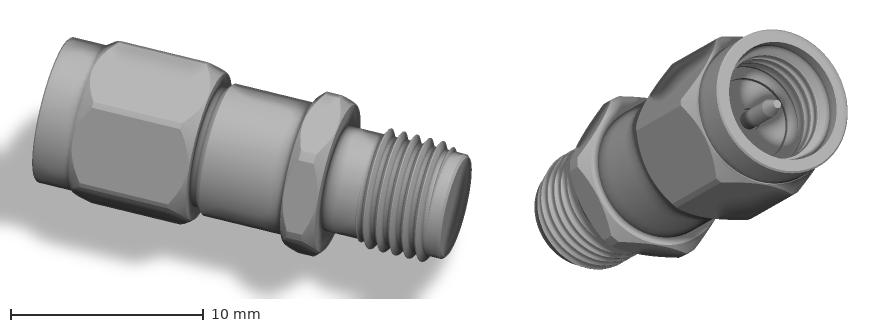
import cadquery as cq
import math

length = 21.85
collar_end = 2.0
nut_end = 8.39
neck_end = 8.67
rear_hex_start = 13.52
rear_hex_end = 15.4

collar_diameter = 7.75
neck_diameter = 6.35
body_diameter = 7.05
barrel_diameter = 5.6
collar_chamfer = 0.09
body_chamfer = 0.33
barrel_chamfer = 0.13

across_flats = 7.95
nut_across_corners = 9.0
rear_across_corners = 8.89
hex_end_diameter = 7.86
nut_chamfer_length = 0.79
rear_chamfer_length = 0.52

entry_diameter = 6.35
entry_depth = 0.76
bore_diameter = 5.6
socket_depth = 3.54
lead_in_length = (entry_diameter - bore_diameter) / 2
insulator_diameter = 4.2
insulator_gap_diameter = 4.45
pin_diameter = 0.95
pin_gap_diameter = 1.2
gap_depth = 0.22
pin_tip_diameter = 0.44
pin_tip_start = 0.6
pin_tip_end = 1.38

five_pitches = 3.54
pitch = five_pitches / 5
outer_thread_diameter = 6.35
outer_thread_start = 17.25
outer_thread_end = 21.1
outer_thread_taper = 0.3
outer_crest = 17.65
outer_root_width = 0.48
inner_groove_diameter = 6.33
inner_groove_width = 0.57
inner_groove_start = entry_depth + lead_in_length
inner_groove_position = 0.92
crest_width = 0.05
thread_overlap = 0.07


def cylinder(start, end, diameter):
    return cq.Workplane("YZ", origin=(start, 0, 0)).circle(diameter / 2).extrude(end - start)


def ring(start, end, outer, inner):
    return cylinder(start, end, outer).cut(cylinder(start, end, inner))


def revolved(half_outline):
    """Solid of revolution around X from (x, radius) points."""
    return cq.Workplane("XY").polyline(half_outline).close().revolve(360, (0, 0, 0), (1, 0, 0))


def chamfered_hex(start, end, across_corners, chamfer_length):
    """Hexagon with corners on Y, trimmed by a cylinder with conical ends."""
    sharp_corners = across_flats / math.cos(math.pi / 6)
    prism = cq.Workplane("YZ", origin=(start, 0, 0)).polygon(6, sharp_corners).extrude(end - start)
    envelope = revolved([
        (start, 0),
        (start, hex_end_diameter / 2),
        (start + chamfer_length, across_corners / 2),
        (end - chamfer_length, across_corners / 2),
        (end, hex_end_diameter / 2),
        (end, 0),
    ])
    return prism.intersect(envelope)


def helical_ridge(base_diameter, crest_diameter, root_width, crest, turns):
    """Right-handed V ridge around X; its crest passes +Z at the given X."""
    base_radius = base_diameter / 2
    crest_radius = crest_diameter / 2
    inside_radius = base_radius - thread_overlap
    slope = (root_width - crest_width) / 2 / (crest_radius - base_radius)
    inside_half_width = root_width / 2 + slope * thread_overlap
    path = cq.Wire.makeHelix(pitch, pitch * turns, base_radius)
    ridge = (
        cq.Workplane("XZ")
        .polyline([
            (inside_radius, -inside_half_width),
            (crest_radius, -crest_width / 2),
            (crest_radius, crest_width / 2),
            (inside_radius, inside_half_width),
        ])
        .close()
        .sweep(cq.Workplane(obj=path), isFrenet=True)
    )
    return ridge.rotate((0, 0, 0), (0, 1, 0), 90).translate((crest - pitch / 2, 0, 0))


def outer_thread():
    turns = math.ceil((outer_thread_end - outer_thread_start) / pitch) + 2
    ridge = helical_ridge(
        barrel_diameter, outer_thread_diameter, outer_root_width, outer_crest - pitch, turns
    )
    return ridge.intersect(tapered_envelope())


def tapered_envelope():
    """Cylinder with conical ends over which the outer thread runs out."""
    return revolved([
        (outer_thread_start, 0),
        (outer_thread_start, barrel_diameter / 2),
        (outer_thread_start + outer_thread_taper, outer_thread_diameter / 2 + thread_overlap),
        (outer_thread_end - outer_thread_taper, outer_thread_diameter / 2 + thread_overlap),
        (outer_thread_end, barrel_diameter / 2),
        (outer_thread_end, 0),
    ])


def inner_thread():
    turns = math.ceil((socket_depth - inner_groove_start) / pitch) + 2
    ridge = helical_ridge(
        bore_diameter, inner_groove_diameter, inner_groove_width, inner_groove_position - pitch, turns
    )
    return ridge.intersect(cylinder(inner_groove_start, socket_depth, 2 * inner_groove_diameter))


def outside():
    collar = cylinder(0, collar_end, collar_diameter).faces("<X").chamfer(collar_chamfer)
    nut = chamfered_hex(collar_end, nut_end, nut_across_corners, nut_chamfer_length)
    neck = cylinder(nut_end, neck_end, neck_diameter)
    body = cylinder(neck_end, rear_hex_start, body_diameter).faces("<X").chamfer(body_chamfer)
    rear_hex = chamfered_hex(rear_hex_start, rear_hex_end, rear_across_corners, rear_chamfer_length)
    barrel = cylinder(rear_hex_end, length, barrel_diameter).faces(">X").chamfer(barrel_chamfer)
    return collar.union(nut).union(neck).union(body).union(rear_hex).union(barrel)


def socket():
    bore = revolved([
        (0, 0),
        (0, entry_diameter / 2),
        (entry_depth, entry_diameter / 2),
        (entry_depth + lead_in_length, bore_diameter / 2),
        (socket_depth, bore_diameter / 2),
        (socket_depth, 0),
    ])
    gap_end = socket_depth + gap_depth
    insulator_gap = ring(socket_depth, gap_end, insulator_gap_diameter, insulator_diameter)
    pin_gap = ring(socket_depth, gap_end, pin_gap_diameter, pin_diameter)
    return bore.union(insulator_gap).union(pin_gap)


def centre_pin():
    pin_end = socket_depth + gap_depth
    return revolved([
        (pin_tip_start, 0),
        (pin_tip_start, pin_tip_diameter / 2),
        (pin_tip_end, pin_diameter / 2),
        (pin_end, pin_diameter / 2),
        (pin_end, 0),
    ])


result = outside().union(outer_thread()).cut(socket()).cut(inner_thread()).union(centre_pin())